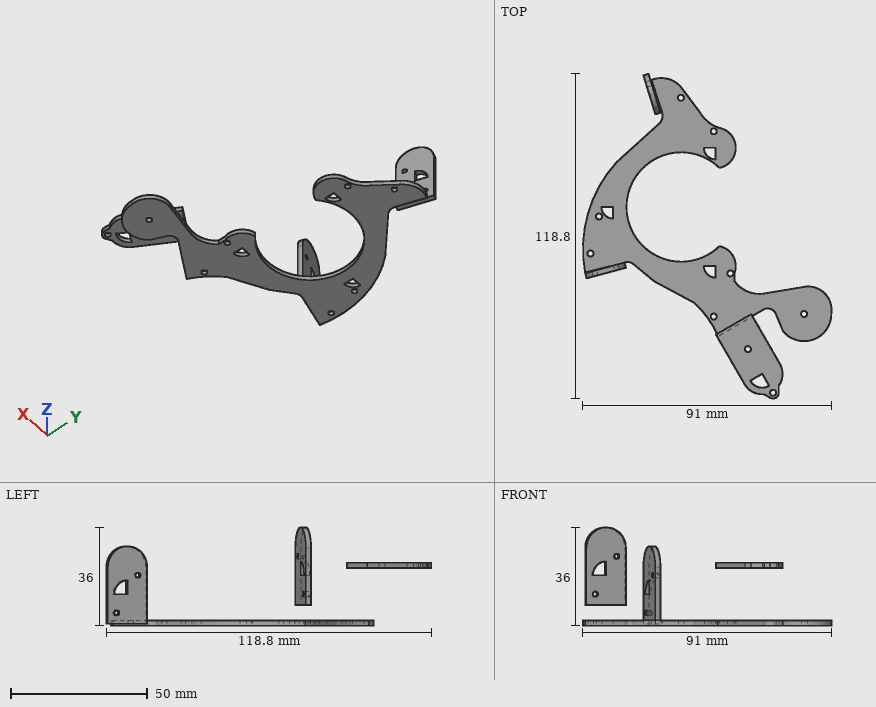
import cadquery as cq
import math

sheet = 2.0
tab_width = 15.0
tab_radius = tab_width / 2
tab_straight = 20.9
tab_window_radius = 5.0
tab_hole_radius = 1.0
plate_hole_radius = 1.1

ring_radius = 20.0
seat_radius = 25.0
seat_angles = (60, 180, 300)
lobe_radius = 7.5
plate_window_radius = 4.2
arm_end = (44.9, -39.1)
arm_end_radius = 10.0
plate_holes = [
    (-0.1, 39.9),
    (11.9, 27.7),
    (-30.1, -3.5),
    (-33.2, -17.0),
    (18.0, -24.2),
    (11.9, -40.0),
    arm_end,
]

left_tab_place = (-27.9, -22.2, 7.6)
left_tab_turn = 15
upper_tab_place = (-9.7, 41.6, 0.7)
upper_tab_turn = -73
tab_window_height = 10.9
tab_hole_offset_x = 4.0
tab_hole_offset_z = 6.9

pad_place = (19.1, -42.9, 21.2)
pad_turn = 30
lug_distance = 28.9
lug_radius = 2.1
lug_flank_angle = 30
lug_flank_length = 4.8


def polar(center, radius, angle):
    """Point at an angle in degrees on a circle."""
    turn = math.radians(angle)
    return (center[0] + radius * math.cos(turn), center[1] + radius * math.sin(turn))


def quarter_window(corner, radius, start_angle):
    """Quarter disc cutter with its square corner at the given point."""
    return (
        cq.Workplane("XY")
        .moveTo(*corner)
        .lineTo(*polar(corner, radius, start_angle))
        .threePointArc(
            polar(corner, radius, start_angle + 45),
            polar(corner, radius, start_angle + 90),
        )
        .close()
        .extrude(sheet)
    )


def round_holes(points, radius):
    """Cutter for round holes through one sheet."""
    return cq.Workplane("XY").pushPoints(points).circle(radius).extrude(sheet)


def plate_outline():
    """Outline of the ring plate, clockwise from the tip of the upper arm."""
    upper_lobe = polar((0, 0), seat_radius, seat_angles[0])
    lower_lobe = polar((0, 0), seat_radius, seat_angles[2])
    crossing_cosine = (ring_radius**2 + seat_radius**2 - lobe_radius**2) / (2 * ring_radius * seat_radius)
    mouth_angle = seat_angles[0] - math.degrees(math.acos(crossing_cosine))
    return (
        cq.Workplane("XY")
        .moveTo(-10.9, 46.5)
        .threePointArc((-5.1, 47.0), (0.5, 43.1))
        .lineTo(6.9, 34.6)
        .threePointArc((10.1, 30.9), polar(upper_lobe, lobe_radius, 72))
        .threePointArc(polar(upper_lobe, lobe_radius, 0), polar((0, 0), ring_radius, mouth_angle))
        .threePointArc((-ring_radius, 0), polar((0, 0), ring_radius, -mouth_angle))
        .threePointArc(polar(lower_lobe, lobe_radius, 30), polar(lower_lobe, lobe_radius, -18))
        .lineTo(19.5, -27.1)
        .threePointArc((23.3, -30.4), (30.1, -31.6))
        .lineTo(45.9, -29.0)
        .threePointArc((52.3, -31.4), polar(arm_end, arm_end_radius, 0))
        .threePointArc(polar(arm_end, arm_end_radius, -80), polar(arm_end, arm_end_radius, 219))
        .lineTo(34.6, -39.2)
        .threePointArc((32.7, -37.3), (30.4, -37.3))
        .lineTo(13.4, -47.2)
        .threePointArc((9.6, -40.5), (4.8, -35.1))
        .lineTo(-9.9, -27.2)
        .lineTo(-17.5, -20.9)
        .threePointArc((-19.0, -20.2), (-20.7, -20.3))
        .lineTo(-35.2, -24.0)
        .threePointArc((-33.8, -1.1), (-23.7, 16.4))
        .lineTo(-8.4, 30.2)
        .threePointArc((-6.9, 32.9), (-7.1, 35.0))
        .close()
    )


def build_ring_plate():
    plate = plate_outline().extrude(sheet)
    for angle in seat_angles:
        seat = polar((0, 0), seat_radius, angle)
        plate = plate.cut(quarter_window(seat, plate_window_radius, 180))
    return plate.cut(round_holes(plate_holes, plate_hole_radius))


def tab_blank():
    """Flat round-ended strip, straight end centred on the origin and pointing along +Y."""
    return (
        cq.Workplane("XY")
        .moveTo(-tab_radius, 0)
        .lineTo(tab_radius, 0)
        .lineTo(tab_radius, tab_straight)
        .threePointArc((0, tab_straight + tab_radius), (-tab_radius, tab_straight))
        .close()
        .extrude(sheet)
    )


def build_upright_tab(place, turn):
    holes = [
        (side * tab_hole_offset_x, tab_window_height + side * tab_hole_offset_z)
        for side in (-1, 1)
    ]
    tab = (
        tab_blank()
        .cut(quarter_window((0, tab_window_height), tab_window_radius, 90))
        .cut(round_holes(holes, tab_hole_radius))
    )
    return tab.rotate((0, 0, 0), (1, 0, 0), 90).rotate((0, 0, 0), (0, 0, 1), turn).translate(place)


def lug():
    """Rounded ear with flaring flanks on the tip of the pad."""
    center = (0, lug_distance)
    right = polar(center, lug_radius, lug_flank_angle)
    left = polar(center, lug_radius, 180 - lug_flank_angle)
    return (
        cq.Workplane("XY")
        .moveTo(*polar(right, lug_flank_length, lug_flank_angle - 90))
        .lineTo(*right)
        .threePointArc((0, lug_distance + lug_radius), left)
        .lineTo(*polar(left, lug_flank_length, -90 - lug_flank_angle))
        .close()
        .extrude(sheet)
    )


def build_pad():
    holes = [(0, tab_straight / 2), (0, lug_distance)]
    pad = (
        tab_blank()
        .union(lug())
        .cut(quarter_window((0, tab_straight), tab_window_radius, 0))
        .cut(round_holes(holes, plate_hole_radius))
    )
    return pad.rotate((0, 0, 0), (0, 0, 1), 180 + pad_turn).translate(pad_place)


ring_plate = build_ring_plate()
pad = build_pad()
tab_positions = [(left_tab_place, left_tab_turn), (upper_tab_place, upper_tab_turn)]
upright_tabs = [build_upright_tab(place, turn) for place, turn in tab_positions]

result = cq.Compound.makeCompound([ring_plate.val(), pad.val(), *[tab.val() for tab in upright_tabs]])